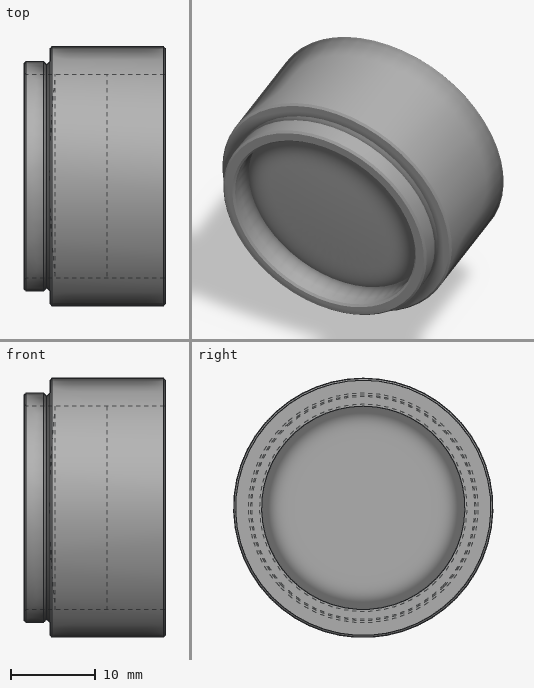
import cadquery as cq
import math

housing_length = 16.6
barrel_radius = 15.25
nose_length = 3.05
nose_radius = 13.5
edge_chamfer = 0.25

groove_width = 0.8
groove_depth = groove_width / 2
groove_start_x = nose_length - groove_width
groove_bottom_x = nose_length - groove_depth

bore_radius = 11.95

lens_radius = bore_radius
lens_edge_x = 3.65
lens_edge_thickness = 6.1
front_curvature_radius = 109.73
front_sag = front_curvature_radius - math.sqrt(front_curvature_radius**2 - lens_radius**2)


def revolve_about_x(profile):
    """Turn a closed profile, drawn as (x, radius), once around the X axis."""
    return profile.close().revolve(360, (0, 0, 0), (1, 0, 0))


def make_housing():
    """Stepped ring with chamfered rims, a relief groove and a through bore."""
    profile = (
        cq.Workplane("XZ")
        .moveTo(housing_length, bore_radius)
        .lineTo(edge_chamfer, bore_radius)
        .lineTo(0, bore_radius + edge_chamfer)
        .lineTo(0, nose_radius - edge_chamfer)
        .lineTo(edge_chamfer, nose_radius)
        .lineTo(groove_start_x, nose_radius)
        .lineTo(groove_bottom_x, nose_radius - groove_depth)
        .lineTo(nose_length, nose_radius)
        .lineTo(nose_length, barrel_radius - edge_chamfer)
        .lineTo(nose_length + edge_chamfer, barrel_radius)
        .lineTo(housing_length - edge_chamfer, barrel_radius)
        .lineTo(housing_length, barrel_radius - edge_chamfer)
    )
    return revolve_about_x(profile)


def make_lens():
    """Plano-convex lens whose edge fits the bore."""
    apex_x = lens_edge_x - front_sag
    back_x = lens_edge_x + lens_edge_thickness
    mid_radius = lens_radius / 2
    mid_x = apex_x + front_curvature_radius - math.sqrt(front_curvature_radius**2 - mid_radius**2)
    profile = (
        cq.Workplane("XZ")
        .moveTo(apex_x, 0)
        .threePointArc((mid_x, mid_radius), (lens_edge_x, lens_radius))
        .lineTo(back_x, lens_radius)
        .lineTo(back_x, 0)
    )
    return revolve_about_x(profile)


housing = make_housing()
lens = make_lens()

result = cq.Compound.makeCompound([housing.val(), lens.val()])